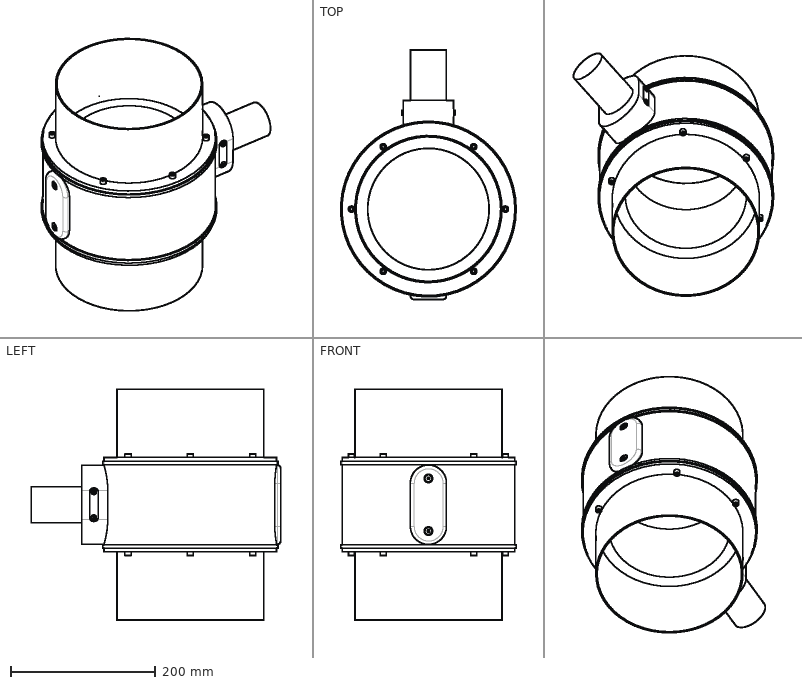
import cadquery as cq
import math

PIPE_LENGTH = 320.06
PIPE_OUTER_D = 204.0
PIPE_INNER_D = 200.0
BORE_D = 168.0
CORE_HEIGHT = 111.0
HOUSING_D = 239.4
HOUSING_HEIGHT = 131.0
RIM_D = 243.4
RIM_HEIGHT = 4.6
RIM_OFFSET = 5.4

SCREW_HEAD_D = 8.5
SCREW_HEAD_HEIGHT = 5.0
SCREW_SOCKET_AF = 4.0
SCREW_SOCKET_DEPTH = 2.5
SCREW_EDGE_RADIUS = 0.5
SCREW_CIRCLE_R = 106.7
SCREW_ANGLES = (0, 54, 126, 180, 234, 306)

COVER_WIDTH = 50.0
COVER_HEIGHT = 110.0
COVER_EDGE_RADIUS = 5.0
COVER_FACE_Y = -125.35
COVER_SCREW_SPACING = 73.0
COVER_RECESS_D = 11.6
COVER_RECESS_DEPTH = 3.0
COVER_HEAD_D = 9.64
COVER_HEAD_HEIGHT = 2.5
COVER_SOCKET_AF = 3.0
COVER_SOCKET_DEPTH = 1.5

BOSS_WIDTH = 70.0
BOSS_HEIGHT = 110.0
BOSS_END_Y = 150.6
STUB_D = 50.0
STUB_END_Y = 220.5

LABEL_WIDTH = 12.0
LABEL_LENGTH = 46.5
LABEL_THICKNESS = 0.2
LABEL_Y = 133.6
LABEL_SCREW_SPACING = 35.2
LABEL_SCREW_D = 7.0
LABEL_SCREW_HEIGHT = 2.0
LABEL_SCREW_EDGE_RADIUS = 1.2
LABEL_SOCKET_AF = 2.0
LABEL_SOCKET_DEPTH = 1.0

HEX_CORNERS_PER_FLATS = 2 / math.sqrt(3)


def cylinder(diameter, height):
    """Cylinder along Z, centred on the origin."""
    base = cq.Workplane("XY", origin=(0, 0, -height / 2))
    return base.circle(diameter / 2).extrude(height)


def socket_head(diameter, height, socket_af, socket_depth, edge_radius=0.0):
    """Screw head standing on Z = 0 with a hexagon socket and, if given, a rounded top edge."""
    head = cq.Workplane("XY").circle(diameter / 2).extrude(height)
    if edge_radius:
        head = head.faces(">Z").edges().fillet(edge_radius)
    socket_corner_d = socket_af * HEX_CORNERS_PER_FLATS
    socket = (
        cq.Workplane("XY", origin=(0, 0, height - socket_depth))
        .polygon(6, socket_corner_d)
        .extrude(socket_depth)
    )
    return head.cut(socket)


def make_housing():
    housing = cylinder(PIPE_OUTER_D, PIPE_LENGTH).union(cylinder(HOUSING_D, HOUSING_HEIGHT))
    rim_z = HOUSING_HEIGHT / 2 - RIM_OFFSET - RIM_HEIGHT / 2
    for side in (1, -1):
        housing = housing.union(cylinder(RIM_D, RIM_HEIGHT).translate((0, 0, side * rim_z)))
    return housing


def make_branch():
    boss = cq.Workplane("XZ").slot2D(BOSS_HEIGHT, BOSS_WIDTH, 90).extrude(-BOSS_END_Y)
    stub = cq.Workplane("XZ").circle(STUB_D / 2).extrude(-STUB_END_Y)
    return boss.union(stub)


def make_cover():
    """Oblong plate with a rounded front edge and two recessed screws."""
    cover = cq.Workplane("XZ").slot2D(COVER_HEIGHT, COVER_WIDTH, 90).extrude(-COVER_FACE_Y)
    cover = cover.faces("<Y").edges().fillet(COVER_EDGE_RADIUS)
    recess_floor_y = COVER_FACE_Y + COVER_RECESS_DEPTH
    head = socket_head(
        COVER_HEAD_D, COVER_HEAD_HEIGHT, COVER_SOCKET_AF, COVER_SOCKET_DEPTH
    ).rotate((0, 0, 0), (1, 0, 0), 90)
    for side in (1, -1):
        screw_z = side * COVER_SCREW_SPACING / 2
        recess = (
            cq.Workplane("XZ", origin=(0, recess_floor_y, screw_z))
            .circle(COVER_RECESS_D / 2)
            .extrude(COVER_RECESS_DEPTH)
        )
        cover = cover.cut(recess).union(head.translate((0, recess_floor_y, screw_z)))
    return cover


def make_label():
    """Label plate and its two screws on the +X flank of the boss."""
    label_face_x = BOSS_WIDTH / 2 + LABEL_THICKNESS
    label = (
        cq.Workplane("YZ", origin=(0, LABEL_Y, 0))
        .slot2D(LABEL_LENGTH, LABEL_WIDTH, 90)
        .extrude(label_face_x)
    )
    head = socket_head(
        LABEL_SCREW_D, LABEL_SCREW_HEIGHT, LABEL_SOCKET_AF, LABEL_SOCKET_DEPTH, LABEL_SCREW_EDGE_RADIUS
    ).rotate((0, 0, 0), (0, 1, 0), 90)
    for side in (1, -1):
        screw_z = side * LABEL_SCREW_SPACING / 2
        label = label.union(head.translate((label_face_x, LABEL_Y, screw_z)))
    return label


def make_end_screws():
    """Screw heads standing on the upper face of the housing."""
    head = socket_head(
        SCREW_HEAD_D, SCREW_HEAD_HEIGHT, SCREW_SOCKET_AF, SCREW_SOCKET_DEPTH, SCREW_EDGE_RADIUS
    )
    placed = head.translate((SCREW_CIRCLE_R, 0, HOUSING_HEIGHT / 2))
    screws = cq.Workplane("XY")
    for angle in SCREW_ANGLES:
        screws = screws.add(placed.rotate((0, 0, 0), (0, 0, 1), angle))
    return screws.combine()


def make_bores():
    """Through bore, widened to the pipe's inner diameter beyond the core at both ends."""
    bores = cylinder(BORE_D, PIPE_LENGTH)
    wide_length = (PIPE_LENGTH - CORE_HEIGHT) / 2
    wide_z = (PIPE_LENGTH + CORE_HEIGHT) / 4
    for side in (1, -1):
        bores = bores.union(cylinder(PIPE_INNER_D, wide_length).translate((0, 0, side * wide_z)))
    return bores


label = make_label()
end_screws = make_end_screws()

result = make_housing().union(make_branch()).union(make_cover())
result = result.union(label).union(label.mirror("YZ"))
result = result.union(end_screws).union(end_screws.mirror("XY"))
result = result.cut(make_bores())